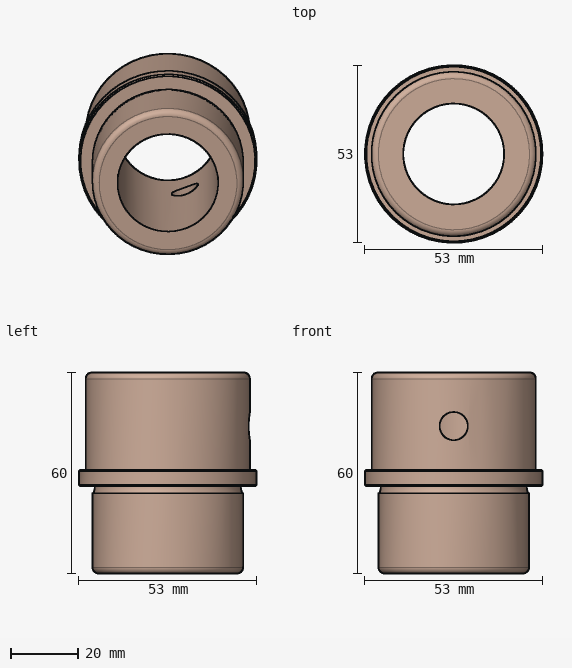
import cadquery as cq

height = 60.0
bore_diameter = 30.0
head_diameter = 49.0
collar_diameter = 53.0
spigot_diameter = 45.0
spigot_top = 24.0
collar_bottom = 26.0
collar_top = 31.0
collar_chamfer = 0.5
end_fillet = 2.0

undercut_lower_radius = 22.2
undercut_middle_radius = 21.9
undercut_upper_radius = 21.8

hole_diameter = 8.4
hole_height = 44.0


def cylinder(diameter, bottom, top):
    return cq.Workplane("XY").workplane(offset=bottom).circle(diameter / 2).extrude(top - bottom)


def make_undercut():
    undercut_middle = (spigot_top + collar_bottom) / 2
    return (
        cq.Workplane("XZ")
        .moveTo(0, spigot_top)
        .lineTo(undercut_lower_radius, spigot_top)
        .threePointArc(
            (undercut_middle_radius, undercut_middle),
            (undercut_upper_radius, collar_bottom),
        )
        .lineTo(0, collar_bottom)
        .close()
        .revolve(360, (0, 0, 0), (0, 1, 0))
    )


spigot = cylinder(spigot_diameter, 0, spigot_top).faces("<Z").edges().fillet(end_fillet)
collar = cylinder(collar_diameter, collar_bottom, collar_top).edges("%CIRCLE").chamfer(collar_chamfer)
head = cylinder(head_diameter, collar_top, height).faces(">Z").edges().fillet(end_fillet)

bore = cylinder(bore_diameter, 0, height)
radial_hole = (
    cq.Workplane("XZ").center(0, hole_height).circle(hole_diameter / 2).extrude(collar_diameter / 2)
)

result = spigot.union(make_undercut()).union(collar).union(head).cut(bore).cut(radial_hole)